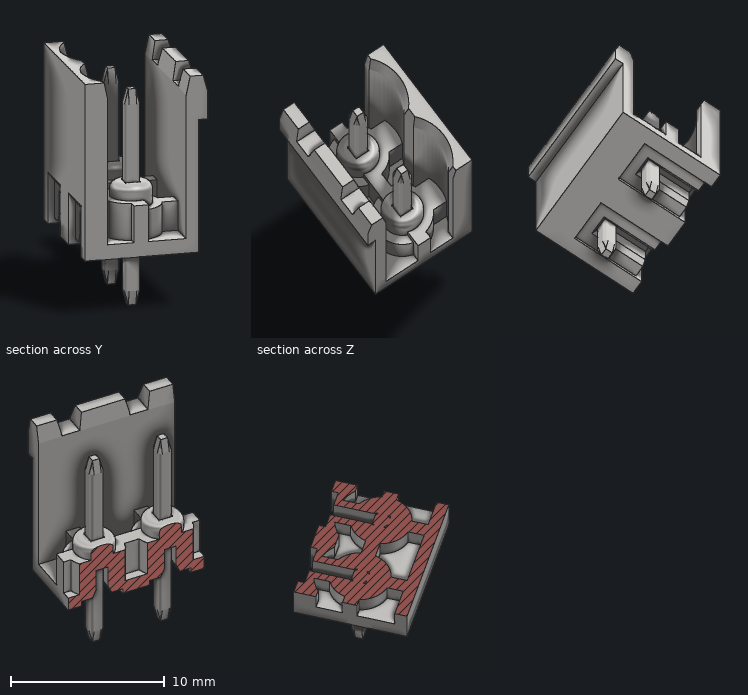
import cadquery as cq


pole_count = 2
width = 10.0
depth = 8.3
overall_height = 15.9
housing_height = 12.0
pole_pitch = width / pole_count
pole_positions = [(i + 0.5) * pole_pitch for i in range(pole_count)]

floor_thickness = 1.0
front_wall = 1.53
front_bevel_width = 0.24
front_bevel_height = 1.11
rear_inner_y = 6.84
latch_overhang = 0.6
latch_height = 3.0
latch_outer_bevel_width = 0.3
latch_inner_bevel_width = 0.27
latch_outer_bevel_height = 1.11
latch_inner_bevel_height = 1.27

notch_offset = -0.11
notch_floor_width = 1.29
notch_top_width = 1.8
notch_depth = 1.21

scallop_radius = 3.0
scallop_top_radius = 3.3

pin_y = 3.8
pin_width = 1.0
pin_tip_width = 0.51
pin_corner_radius = (pin_width - pin_tip_width) / 2
pin_taper_length = 0.99
pin_top = 10.78
pin_bottom = housing_height - overall_height

support_radius = 2.04
high_step = 3.5
low_step = 3.0
front_rib_width = 2.0
rear_rib_width = 1.0
collar_radius = 1.4
collar_top = 4.5
collar_fillet = 0.5

recess_width = 3.0
recess_depth = 0.46
recess_height = 3.5
recess_slope_height = 0.6
step_height = 0.37
step_end_y = pin_y + recess_width / 2
slot_width = 0.83
slot_height = 2.5
slot_end_y = pin_y + slot_width / 2
flare_top = 0.97
flare_width = 0.29


def box(x_min, x_max, y_min, y_max, z_min, z_max):
    """Block between the given limits."""
    size = (x_max - x_min, y_max - y_min, z_max - z_min)
    return cq.Workplane("XY").box(*size, centered=False).translate((x_min, y_min, z_min))


def centred_box(x, block_width, y_min, y_max, z_min, z_max):
    """Block of the given width centred on x."""
    return box(x - block_width / 2, x + block_width / 2, y_min, y_max, z_min, z_max)


def make_shell():
    """Floor, front wall and hooked latch wall as one profile along X."""
    rear_outer_y = depth - latch_overhang
    profile = [
        (0, 0),
        (rear_outer_y, 0),
        (rear_outer_y, housing_height - latch_height),
        (depth, housing_height - latch_height),
        (depth, housing_height - latch_outer_bevel_height),
        (depth - latch_outer_bevel_width, housing_height),
        (rear_inner_y + latch_inner_bevel_width, housing_height),
        (rear_inner_y, housing_height - latch_inner_bevel_height),
        (rear_inner_y, floor_thickness),
        (front_wall, floor_thickness),
        (front_wall, housing_height - front_bevel_height),
        (front_wall - front_bevel_width, housing_height),
        (0, housing_height),
    ]
    return cq.Workplane("YZ").polyline(profile).close().extrude(width)


def make_notch(x):
    """Notch with sloping sides across the top of the latch wall."""
    centre = x + notch_offset
    notch_floor = housing_height - notch_depth
    profile = [
        (centre - notch_floor_width / 2, notch_floor),
        (centre + notch_floor_width / 2, notch_floor),
        (centre + notch_top_width / 2, housing_height),
        (centre - notch_top_width / 2, housing_height),
    ]
    notch = cq.Workplane("XZ").polyline(profile).close().extrude(-depth)
    return notch.intersect(box(0, width, rear_inner_y, depth, 0, housing_height))


def make_scallop(x):
    """Round clearance about the pole axis, widening as a cone at the top."""
    cone_base = housing_height - front_bevel_height
    profile = [
        (0, floor_thickness),
        (scallop_radius, floor_thickness),
        (scallop_radius, cone_base),
        (scallop_top_radius, housing_height),
        (0, housing_height),
    ]
    scallop = cq.Workplane("XZ").polyline(profile).close().revolve(360, (0, 0), (0, 1))
    front_half = box(0, width, 0, pin_y, 0, housing_height)
    return scallop.translate((x, pin_y, 0)).intersect(front_half)


def make_cross_wall():
    """Wall along the row of pins, joining the pin supports."""
    half = pin_width / 2
    return box(0, width, pin_y - half, pin_y + half, 0, high_step)


def make_support(x):
    """Stepped round support with ribs to both walls and a rounded collar on top."""
    step_y = pin_y + pin_width / 2
    high_half = box(0, width, 0, step_y, 0, high_step)
    low_half = box(0, width, step_y, depth, 0, low_step)
    disc = cq.Workplane("XY").center(x, pin_y).circle(support_radius).extrude(high_step)
    disc = disc.intersect(high_half.union(low_half))
    front_rib = centred_box(x, front_rib_width, front_wall / 2, pin_y, 0, high_step)
    rear_rib = centred_box(x, rear_rib_width, pin_y, rear_inner_y, 0, low_step)
    collar = cq.Workplane("XY").center(x, pin_y).circle(collar_radius).extrude(collar_top)
    collar = collar.faces(">Z").edges().fillet(collar_fillet)
    return disc.union(front_rib).union(rear_rib).union(collar)


def make_recess(x):
    """Front recess with a sloping roof, continued under the floor as a shallow step."""
    profile = [
        (0, 0),
        (step_end_y, 0),
        (step_end_y, step_height),
        (recess_depth, step_height),
        (recess_depth, recess_height - recess_slope_height),
        (0, recess_height),
    ]
    recess = cq.Workplane("YZ").polyline(profile).close().extrude(recess_width)
    return recess.translate((x - recess_width / 2, 0, 0))


def make_slot(x):
    """Slot from the recess to the pin, flaring at its sides and end towards the underside."""
    slot = centred_box(x, slot_width, 0, slot_end_y, step_height, slot_height)
    flare = (
        cq.Workplane("XY", origin=(x, 0, step_height))
        .rect(slot_width + 2 * flare_width, 2 * (slot_end_y + flare_width))
        .workplane(offset=flare_top - step_height)
        .rect(slot_width, 2 * slot_end_y)
        .loft(ruled=True)
    )
    return slot.union(flare)


def make_pin_tip():
    """Tapered pin end, pointing up from Z = 0; its rounded corners narrow to sharp ones."""
    half = pin_width / 2
    tip_half = pin_tip_width / 2
    profile = [(-half, 0), (half, 0), (tip_half, pin_taper_length), (-tip_half, pin_taper_length)]
    across_x = cq.Workplane("XZ").polyline(profile).close().extrude(tip_half, both=True)
    across_y = cq.Workplane("YZ").polyline(profile).close().extrude(tip_half, both=True)
    tip = across_x.union(across_y)
    for corner_x in (-tip_half, tip_half):
        for corner_y in (-tip_half, tip_half):
            corner = cq.Solid.makeCone(pin_corner_radius, 0, pin_taper_length)
            tip = tip.union(cq.Workplane(corner.translate(cq.Vector(corner_x, corner_y, 0))))
    return tip


def make_pin():
    """Square pin with rounded edges, tapered at both ends."""
    shank_bottom = pin_bottom + pin_taper_length
    shank_top = pin_top - pin_taper_length
    shank = cq.Workplane("XY").rect(pin_width, pin_width).extrude(shank_top - shank_bottom)
    shank = shank.edges("|Z").fillet(pin_corner_radius).translate((0, 0, shank_bottom))
    tip = make_pin_tip()
    top_tip = tip.translate((0, 0, shank_top))
    bottom_tip = tip.mirror("XY").translate((0, 0, shank_bottom))
    return shank.union(top_tip).union(bottom_tip)


def make_pin_hole(x):
    """Square hole through the support; the pin touches it on its four flats only."""
    half = pin_width / 2
    return centred_box(x, pin_width, pin_y - half, pin_y + half, 0, collar_top)


result = make_shell()
for pole_x in pole_positions:
    result = result.cut(make_notch(pole_x)).cut(make_scallop(pole_x))

result = result.union(make_cross_wall())
for pole_x in pole_positions:
    result = result.union(make_support(pole_x))

pin = make_pin()
for pole_x in pole_positions:
    result = result.cut(make_recess(pole_x)).cut(make_slot(pole_x)).cut(make_pin_hole(pole_x))
    result = result.union(pin.translate((pole_x, pin_y, 0)))